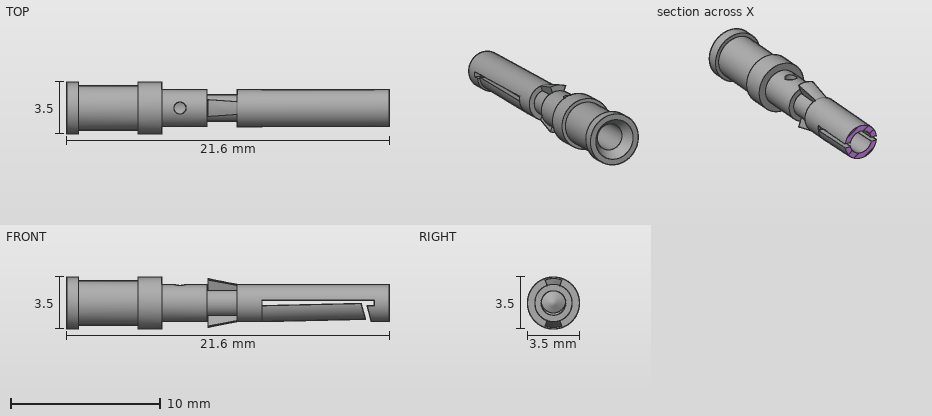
import cadquery as cq
import math

LENGTH = 21.6
FLANGE_DIA = 3.5
BARREL_DIA = 3.0
TUBE_DIA = 2.5
NECK_DIA = 1.8
RIM_END = 0.8
COLLAR_START = 4.77
COLLAR_END = 6.37
NECK_START = 9.4
NECK_END = 11.4

WIRE_BORE_DIA = 1.8
LEAD_IN_DIA = 2.72
LEAD_IN_DEPTH = 0.8
WIRE_BORE_DEPTH = 8.0
DRILL_TIP_ANGLE = 118.0
INSPECTION_HOLE_DIA = 0.8
INSPECTION_HOLE_X = 7.58

BARB_START = 9.45
BARB_TIP_RADIUS = 1.65
BARB_SECTOR = 40.0
BARB_ROOT_RADIUS = 0.65

SOCKET_DIA = 1.65
SLOT_START = 13.1
SLOT_END = 20.58
SLOT_HALF_HEIGHT = 0.17
FINGER_END = 19.75
GAP_START = 20.1
GAP_ANGLE = 14.5
FINGER_BEND = 1.3

tube_radius = TUBE_DIA / 2
slant_drop = FLANGE_DIA / 2
slant_run = slant_drop * math.tan(math.radians(GAP_ANGLE))


def cylinder(start, end, diameter):
    """Cylinder on the X axis."""
    return cq.Workplane("YZ", origin=(start, 0, 0)).circle(diameter / 2).extrude(end - start)


def side_prism(points):
    """Prism across the full width of the tube from an outline in XZ."""
    return cq.Workplane("XZ").polyline(points).close().extrude(FLANGE_DIA / 2, both=True)


def turned_body():
    sections = [
        (0, RIM_END, FLANGE_DIA),
        (RIM_END, COLLAR_START, BARREL_DIA),
        (COLLAR_START, COLLAR_END, FLANGE_DIA),
        (COLLAR_END, NECK_START, TUBE_DIA),
        (NECK_START, NECK_END, NECK_DIA),
        (NECK_END, LENGTH, TUBE_DIA),
    ]
    body = cylinder(*sections[0])
    for section in sections[1:]:
        body = body.union(cylinder(*section))
    return body


def wire_bore():
    bore_radius = WIRE_BORE_DIA / 2
    tip_length = bore_radius / math.tan(math.radians(DRILL_TIP_ANGLE / 2))
    profile = [
        (0, 0),
        (0, LEAD_IN_DIA / 2),
        (LEAD_IN_DEPTH, bore_radius),
        (WIRE_BORE_DEPTH, bore_radius),
        (WIRE_BORE_DEPTH + tip_length, 0),
    ]
    return cq.Workplane("XY").polyline(profile).close().revolve(360, (0, 0, 0), (1, 0, 0))


def inspection_hole():
    plane = cq.Workplane("XY", origin=(INSPECTION_HOLE_X, 0, 0))
    return plane.circle(INSPECTION_HOLE_DIA / 2).extrude(FLANGE_DIA)


def barb(direction):
    """Barb centred on the given angle about the X axis, measured from +Y."""
    profile = [
        (BARB_START, BARB_ROOT_RADIUS),
        (BARB_START, BARB_TIP_RADIUS),
        (NECK_END, tube_radius),
        (NECK_END, BARB_ROOT_RADIUS),
    ]
    sector = cq.Workplane("XY").polyline(profile).close().revolve(BARB_SECTOR, (0, 0, 0), (1, 0, 0))
    return sector.rotate((0, 0, 0), (1, 0, 0), direction - BARB_SECTOR / 2)


def finger_opening():
    """Side slots, plus the lower half of the wall up to the slanted gap face."""
    return side_prism([
        (SLOT_START, SLOT_HALF_HEIGHT),
        (SLOT_END, SLOT_HALF_HEIGHT),
        (SLOT_END, -SLOT_HALF_HEIGHT),
        (GAP_START, -SLOT_HALF_HEIGHT),
        (GAP_START + slant_run, -SLOT_HALF_HEIGHT - slant_drop),
        (SLOT_START, -SLOT_HALF_HEIGHT - slant_drop),
    ])


def spring_finger():
    """Lower half of the socket wall, bent inwards about its outer root edge."""
    overlap = 0.22
    finger = cylinder(SLOT_START - overlap, LENGTH, TUBE_DIA)
    finger = finger.cut(cylinder(SLOT_START - overlap, LENGTH, SOCKET_DIA))
    finger = finger.intersect(side_prism([
        (SLOT_START - overlap, -SLOT_HALF_HEIGHT),
        (FINGER_END, -SLOT_HALF_HEIGHT),
        (FINGER_END + slant_run, -SLOT_HALF_HEIGHT - slant_drop),
        (SLOT_START - overlap, -SLOT_HALF_HEIGHT - slant_drop),
    ]))
    hinge = (SLOT_START, 0, -tube_radius)
    hinge_end = (SLOT_START, 1, -tube_radius)
    finger = finger.rotate(hinge, hinge_end, -FINGER_BEND)
    return finger.intersect(cylinder(SLOT_START, LENGTH, FLANGE_DIA))


result = turned_body().cut(wire_bore()).cut(inspection_hole())
for barb_direction in (90, 270):
    result = result.union(barb(barb_direction))
result = result.cut(cylinder(SLOT_START, LENGTH, SOCKET_DIA))
result = result.cut(finger_opening()).union(spring_finger())